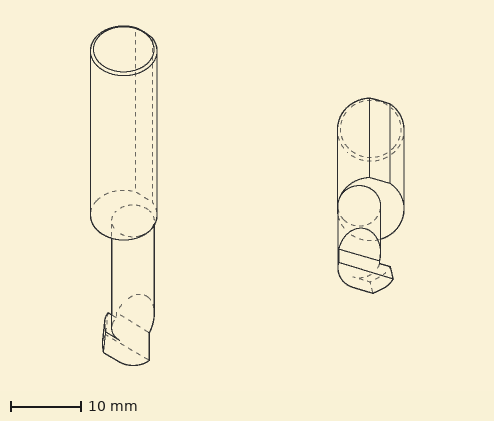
import cadquery as cq
import math

total_length = 63.5
shank_length = 35.5
shank_radius = 4.75
flat_offset = 4.5
chamfer_width = 0.45
chamfer_height = 0.3

neck_radius = 3.05
neck_x = shank_radius - neck_radius
neck_length = total_length - shank_length
relief_height = 6.2

head_height = 5.1
tip_x = -3.35
heel_start = (-2.2, -2.1)
heel_end_x = -1.3
flank_bulge = 0.2
head_lean = 0.45

end_rise_x = 0.04
end_rise_y = 0.07


def make_shank():
    shank = (
        cq.Workplane("XY", origin=(0, 0, neck_length))
        .circle(shank_radius)
        .extrude(shank_length)
        .faces(">Z")
        .chamfer(chamfer_height, chamfer_width)
    )
    kept_width = shank_radius + flat_offset
    kept_side = cq.Workplane("XY").box(
        2 * shank_radius, kept_width, total_length, centered=(True, False, False)
    ).translate((0, -shank_radius, 0))
    return shank.intersect(kept_side)


def head_outline(height, lean):
    """Closed wire of the head's cross-section, with its flank set back by lean."""
    tip = (tip_x + lean, 0)
    heel = (heel_start[0] + lean, heel_start[1])
    chord_x = heel[0] - tip[0]
    chord_y = heel[1] - tip[1]
    chord = math.hypot(chord_x, chord_y)
    flank_middle = (
        (tip[0] + heel[0]) / 2 + flank_bulge * chord_y / chord,
        (tip[1] + heel[1]) / 2 - flank_bulge * chord_x / chord,
    )
    return (
        cq.Workplane("XY", origin=(0, 0, height))
        .moveTo(*tip)
        .threePointArc(flank_middle, heel)
        .lineTo(heel_end_x + lean, -neck_radius)
        .lineTo(neck_x, -neck_radius)
        .lineTo(neck_x, 0)
        .close()
        .val()
    )


def make_head():
    bottom = head_outline(0, 0)
    top = head_outline(head_height, head_lean)
    return cq.Workplane(cq.Solid.makeLoft([bottom, top], True))


def make_relief():
    """Cutter that removes the +Y half of the neck end, with a 45 degree runout."""
    reach = 2 * neck_radius
    return (
        cq.Workplane("YZ")
        .polyline([(0, 0), (reach, 0), (reach, relief_height + reach), (0, relief_height)])
        .close()
        .extrude(2 * shank_radius, both=True)
    )


def make_end_clearance():
    """Cutter below the tilted end face, which passes through the cutting corner."""
    end_plane = cq.Plane(
        origin=(tip_x, 0, 0),
        xDir=(1, 0, end_rise_x),
        normal=(-end_rise_x, end_rise_y, 1),
    )
    span = 4 * shank_radius
    return cq.Workplane(end_plane).rect(2 * span, 2 * span).extrude(-shank_radius)


neck = cq.Workplane("XY").center(neck_x, 0).circle(neck_radius).extrude(neck_length)
result = (
    make_shank()
    .union(neck.cut(make_relief()))
    .union(make_head())
    .cut(make_end_clearance())
)